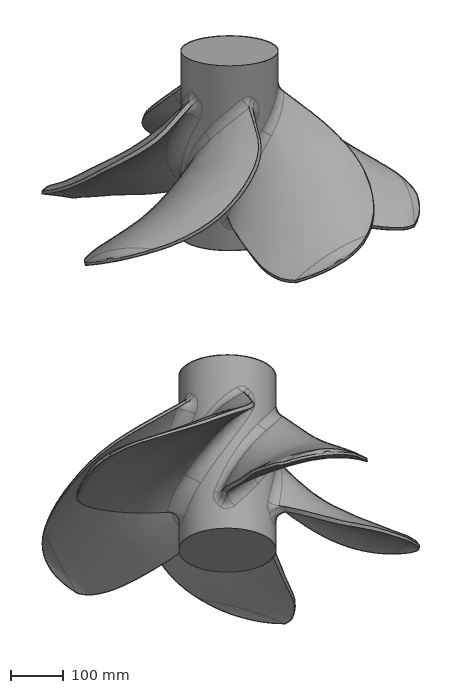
import cadquery as cq
import math

HUB_RADIUS = 92.0
HUB_LENGTH = 367.16
ROOT_FILLET = 23.0

BLADE_COUNT = 5
TIP_RADIUS = 368.6
TIP_ANGLE = -7.5
TIP_HEIGHT = 44.0
POINTS_PER_FACE = 5

HUB_THICKNESS = 43.0
TIP_THICKNESS = 8.0
HUB_RIM_THICKNESS = 11.0
TIP_RIM_THICKNESS = 5.0
HUB_CAMBER = 5.0
TIP_CAMBER = 13.0

SECTIONS = [
    (72.0, -45.0, 81.0, 55.0, 308.0),
    (108.0, -41.5, 69.0, 53.3, 277.0),
    (148.0, -38.0, 57.0, 51.7, 245.0),
    (184.0, -34.5, 46.0, 48.0, 217.0),
    (221.0, -31.8, 36.0, 41.2, 189.0),
    (258.0, -30.1, 28.5, 33.5, 158.5),
    (295.0, -28.0, 21.5, 24.2, 123.0),
    (332.0, -24.4, 15.5, 12.6, 89.0),
    (350.0, -20.8, 15.0, 6.0, 74.0),
]

CAP_RADII = [356.0, 362.0, 366.0, 368.3]

WALL_TOLERANCE = 0.1
END_MARGIN = 1.0


def taper(radius, at_hub_value, at_tip_value):
    share = (radius - HUB_RADIUS) / (TIP_RADIUS - HUB_RADIUS)
    return at_hub_value + share * (at_tip_value - at_hub_value)


def section_wire(radius, low_angle, low_z, high_angle, high_z, camber_share=1.0):
    """Closed lens-shaped section with blunt rims, wrapped on a cylinder."""
    arc = radius * math.radians(high_angle - low_angle)
    rise = high_z - low_z
    chord = math.hypot(arc, rise)
    normal = (-rise / chord, arc / chord)
    rim = taper(radius, HUB_RIM_THICKNESS, TIP_RIM_THICKNESS)
    middle = taper(radius, HUB_THICKNESS, TIP_THICKNESS)
    camber = taper(radius, HUB_CAMBER, TIP_CAMBER) * camber_share

    def point(t, side):
        bulge = 4 * t * (1 - t)
        offset = camber * bulge + side * (rim + (middle - rim) * bulge) / 2
        angle = math.radians(low_angle) + (arc * t + normal[0] * offset) / radius
        z = low_z + rise * t + normal[1] * offset
        return cq.Vector(radius * math.cos(angle), radius * math.sin(angle), z)

    steps = [i / (POINTS_PER_FACE - 1) for i in range(POINTS_PER_FACE)]
    upper = [point(t, 1) for t in steps]
    lower = [point(t, -1) for t in reversed(steps)]
    return cq.Wire.assembleEdges([
        cq.Edge.makeSpline(upper, parameters=steps),
        cq.Edge.makeLine(upper[-1], lower[0]),
        cq.Edge.makeSpline(lower, parameters=steps),
        cq.Edge.makeLine(lower[-1], upper[0]),
    ])


def cap_wire(radius):
    """Section of the rounded tip, closing in on the tip point."""
    base_radius, low_angle, low_z, high_angle, high_z = SECTIONS[-1]
    share = math.sqrt((TIP_RADIUS - radius) / (TIP_RADIUS - base_radius))

    def toward_tip(value, tip_value):
        return tip_value + share * (value - tip_value)

    return section_wire(
        radius,
        toward_tip(low_angle, TIP_ANGLE),
        toward_tip(low_z, TIP_HEIGHT),
        toward_tip(high_angle, TIP_ANGLE),
        toward_tip(high_z, TIP_HEIGHT),
        share,
    )


def make_blade():
    sections = [section_wire(*section) for section in SECTIONS]
    cap = [sections[-1]] + [cap_wire(radius) for radius in CAP_RADII]
    skins = [cq.Solid.makeLoft(wires) for wires in (sections, cap)]
    ends = [cq.Face.makeNSidedSurface(wire.Edges(), []) for wire in (sections[0], cap[-1])]
    faces = [face for skin in skins for face in skin.Faces()] + ends
    return cq.Solid.makeSolid(cq.Shell.makeShell(faces))


def is_root_edge(edge):
    """True for edges on the hub wall, away from the hub ends."""
    points = [edge.positionAt(i / 4) for i in range(5)]
    on_wall = all(abs(math.hypot(p.x, p.y) - HUB_RADIUS) < WALL_TOLERANCE for p in points)
    return on_wall and all(END_MARGIN < p.z < HUB_LENGTH - END_MARGIN for p in points)


def make_filleted_blade(hub):
    """Blade with its root fillet, trimmed to the hub wall."""
    joined = hub.fuse(make_blade())
    root_edges = [edge for edge in joined.Edges() if is_root_edge(edge)]
    return joined.fillet(ROOT_FILLET, root_edges).cut(hub)


hub = cq.Workplane("XY").circle(HUB_RADIUS).extrude(HUB_LENGTH).val()
blade = make_filleted_blade(hub)
hub_axis = (cq.Vector(0, 0, 0), cq.Vector(0, 0, 1))
blades = [blade.rotate(*hub_axis, 360 / BLADE_COUNT * k) for k in range(BLADE_COUNT)]
result = cq.Workplane(hub.fuse(*blades).Solids()[0])